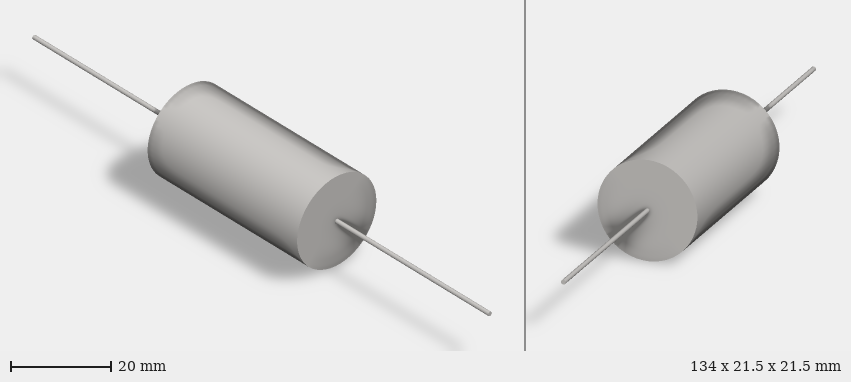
import cadquery as cq

WIRE_LENGTH = 134.0
WIRE_DIAMETER = 1.0
HOUSING_LENGTH = 44.0
HOUSING_DIAMETER = 21.5


def centred_rod(diameter, length):
    """Return a round rod along X, centred on the origin."""
    return cq.Workplane("YZ", origin=(-length / 2, 0, 0)).circle(diameter / 2).extrude(length)


def make_wire():
    """Straight lead wire that runs right through the housing."""
    return centred_rod(WIRE_DIAMETER, WIRE_LENGTH)


def make_housing():
    """Plain cylinder with a central bore that fits the wire."""
    bore = centred_rod(WIRE_DIAMETER, HOUSING_LENGTH)
    return centred_rod(HOUSING_DIAMETER, HOUSING_LENGTH).cut(bore)


housing = make_housing()
wire = make_wire()

result = cq.Compound.makeCompound([housing.val(), wire.val()])